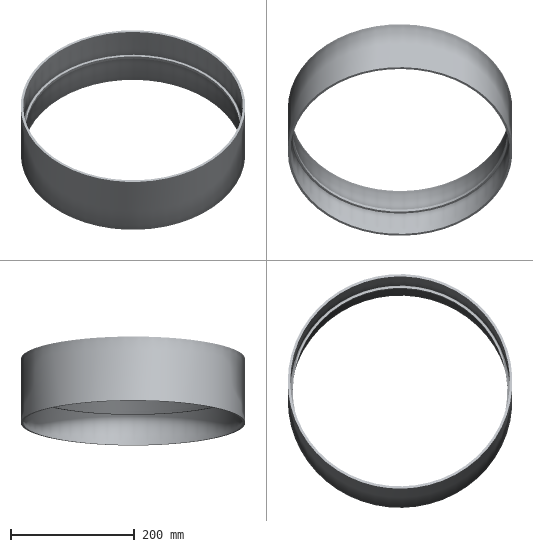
import cadquery as cq

outer_diameter = 363.0
bore_diameter = 355.0
height = 105.0

stop_diameter = 347.0
stop_height = 5.0


def ring(outside, inside, length):
    """Return a ring standing on the XY plane."""
    return cq.Workplane("XY").circle(outside / 2).circle(inside / 2).extrude(length)


sleeve = ring(outer_diameter, bore_diameter, height)

stop_base = (height - stop_height) / 2
stop = ring(outer_diameter, stop_diameter, stop_height).translate((0, 0, stop_base))

result = sleeve.union(stop)